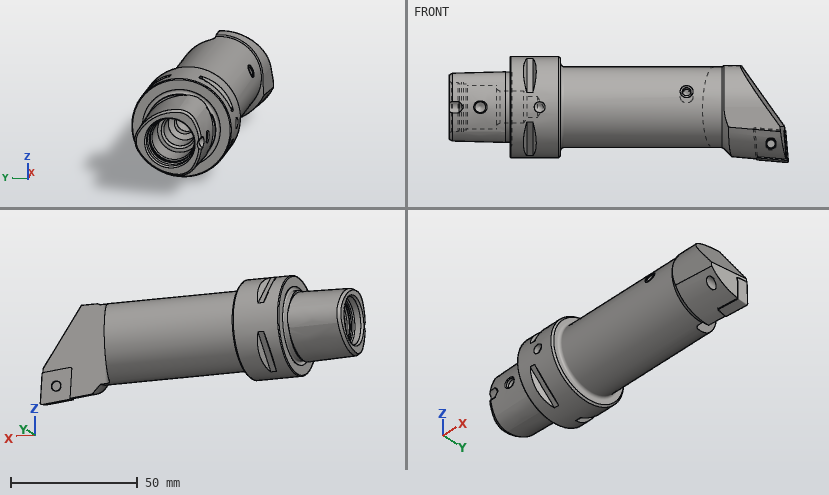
import cadquery as cq
import math

TOOL_LENGTH = 134.0

POLYGON_LENGTH = 22.2
LOBE_CENTRE = 6.5
LOBE_RADIUS = 8.3
TAPER_RATIO = 20
TAPER_DROP = POLYGON_LENGTH / TAPER_RATIO / 2
END_CHAMFER = 1.3
END_CHAMFER_DROP = 0.8

FLANGE_START = 24.0
FLANGE_END = 44.1
FLANGE_DIAMETER = 40.0
FLANGE_RADIUS = FLANGE_DIAMETER / 2
FLANGE_FRONT_CHAMFER = 0.4
FLANGE_REAR_CHAMFER = 0.8
NECK_RADIUS = 14.0
UNDERCUT_START = 23.6
UNDERCUT_DEPTH = 0.8
UNDERCUT_RADIUS = 15.7
SHANK_FILLET = 1.3

SHANK_DIAMETER = 32.0
SHANK_RADIUS = SHANK_DIAMETER / 2
HEAD_RADIUS = 16.5
HEAD_START = 108.5
STEP_LENGTH = 0.8

BORE_MOUTH_RADIUS = 10.2
BORE_MOUTH_LENGTH = 1.1
BORE_ENTRY_RADIUS = 9.6
BORE_ENTRY_DEPTH = 3.6
BORE_SEAT_RADIUS = 9.1
BORE_SEAT_DEPTH = 6.7
GROOVE_START = 5.0
GROOVE_END = 5.8
BORE_RADIUS = 8.6
BORE_DEPTH = 18.8
DRILL_MOUTH_RADIUS = 7.1
DRILL_MOUTH_DEPTH = 1.3
DRILL_RADIUS = 6.3
DRILL_DEPTH = 29.5
CHANNEL_RADIUS = 4.2
CHANNEL_DEPTH = 34.8
DRILL_POINT_ANGLE = 59.0

NOTCH_RADIUS = 2.5
NOTCH_AXIS_Y = -13.5
NOTCH_LENGTH = 3.9
NOTCH_POINT_ANGLE = 45.0
SHANK_HOLE_X = 12.3
SHANK_HOLE_RADIUS = 2.1
SHANK_HOLE_CHAMFER = 0.5
SHANK_HOLE_MOUTH_Y = -12.9
SHANK_HOLE_FLOOR_Y = -11.3
FLANGE_HOLE_X = 35.8
FLANGE_HOLE_RADIUS = 2.1
FLANGE_HOLE_FLOOR_Y = -17.4

GRIPPER_ANGLES = (45, 135, 225, 315)
GRIPPER_X = 31.9
GRIPPER_FLOOR_DISTANCE = 17.7
GRIPPER_FLOOR_WIDTH = 2.4
GRIPPER_FLANK_ANGLE = 30.0

RELIEF_START = 100.1
RELIEF_ANGLE = 15.0
RELIEF_FILLET = 2.7
RAKE_HEIGHT = 1.5
RAKE_TILT = 3.3

APPROACH_ANGLE = 5.0
HEAD_ARC_RADIUS = 20.5
HEAD_ARC_Y = 2.0
HEAD_ARC_Z = -1.1
FLARE_LENGTH = 10.7
NOSE_TOP_X = 115.1
NOSE_CORNER_X = 132.4
NOSE_CORNER_Z = -7.6
CLEARANCE_ANGLE = 6.0

CORNER_Z = -22.0
INSERT_EDGE = 12.9
INSERT_ANGLE = 80.0
INSERT_THICKNESS = 4.7
INSERT_NOSE_RADIUS = 0.7
INSERT_CLEARANCE = 7.0

PIN_RADIUS = 2.0
PIN_CHAMFER = 0.4
PIN_TOP_DEPTH = 0.7
PIN_LENGTH = 8.7

PLUG_X = 93.8
PLUG_POLAR_ANGLE = 23.0
PLUG_RADIUS = 2.5
PLUG_LENGTH = 5.4
PLUG_RECESS = 0.4
SOCKET_RADIUS = 1.7
SOCKET_DEPTH = 1.9

FAR = 53.6


def tan(degrees):
    return math.tan(math.radians(degrees))


def revolved(points):
    """Solid of revolution about X from (x, radius) points."""
    return cq.Workplane("XZ").polyline(points).close().revolve(360, (0, 0), (1, 0))


def drill(radius, depth, point_angle):
    """Drill along +Z from the origin to a shoulder depth, with a conical point."""
    point = radius / tan(point_angle)
    outline = [(0, -FAR), (radius, -FAR), (radius, depth), (0, depth + point)]
    return cq.Workplane("XZ").polyline(outline).close().revolve(360, (0, 0), (0, 1))


def coupling_section(x, lobe_radius):
    """Constant-width three-lobed outline, with one lobe pointing to +Y."""
    flat_radius = math.sqrt(3) * LOBE_CENTRE + lobe_radius

    def arc_point(lobe, radius, degrees):
        centre = math.radians(120 * lobe)
        normal = math.radians(120 * lobe + degrees)
        return (
            LOBE_CENTRE * math.cos(centre) + radius * math.cos(normal),
            LOBE_CENTRE * math.sin(centre) + radius * math.sin(normal),
        )

    outline = cq.Workplane("YZ", origin=(x, 0, 0)).moveTo(*arc_point(0, lobe_radius, -30))
    for lobe in range(3):
        lobe_end = arc_point(lobe, lobe_radius, 30)
        next_lobe = arc_point(lobe + 1, lobe_radius, -30)
        outline = outline.threePointArc(arc_point(lobe, lobe_radius, 0), lobe_end)
        outline = outline.threePointArc(arc_point(lobe + 2, flat_radius, 180), next_lobe)
    return outline.close().wire().val()


def coupling_shank():
    front = LOBE_RADIUS - TAPER_DROP
    sections = [
        coupling_section(0, front - END_CHAMFER_DROP),
        coupling_section(END_CHAMFER, front),
        coupling_section(POLYGON_LENGTH, LOBE_RADIUS),
    ]
    chamfered_end = cq.Solid.makeLoft(sections[:2], True)
    taper = cq.Solid.makeLoft(sections[1:], True)
    return cq.Workplane(chamfered_end).union(cq.Workplane(taper))


def turned_body():
    """Neck, flange and bar shank, up to the head cylinder."""
    shank_diagonal = SHANK_FILLET * (1 - math.sqrt(0.5))
    outline = (
        cq.Workplane("XZ")
        .moveTo(POLYGON_LENGTH, 0)
        .lineTo(POLYGON_LENGTH, NECK_RADIUS)
        .lineTo(UNDERCUT_START, NECK_RADIUS)
        .threePointArc(
            (FLANGE_START + UNDERCUT_DEPTH, (NECK_RADIUS + UNDERCUT_RADIUS) / 2),
            (FLANGE_START, UNDERCUT_RADIUS),
        )
        .lineTo(FLANGE_START, FLANGE_RADIUS - FLANGE_FRONT_CHAMFER)
        .lineTo(FLANGE_START + FLANGE_FRONT_CHAMFER, FLANGE_RADIUS)
        .lineTo(FLANGE_END - FLANGE_REAR_CHAMFER, FLANGE_RADIUS)
        .lineTo(FLANGE_END, FLANGE_RADIUS - FLANGE_REAR_CHAMFER)
        .lineTo(FLANGE_END, SHANK_RADIUS + SHANK_FILLET)
        .threePointArc(
            (FLANGE_END + shank_diagonal, SHANK_RADIUS + shank_diagonal),
            (FLANGE_END + SHANK_FILLET, SHANK_RADIUS),
        )
        .lineTo(HEAD_START - STEP_LENGTH, SHANK_RADIUS)
        .lineTo(HEAD_START, HEAD_RADIUS)
        .lineTo(HEAD_START, 0)
        .close()
    )
    return outline.revolve(360, (0, 0), (1, 0))


def nose_outline(y):
    """Side outline of the head; it recedes along X towards -Y by the clearance angle."""
    shift = y * tan(CLEARANCE_ANGLE)
    end_slope = tan(APPROACH_ANGLE)
    nose_slope = (NOSE_CORNER_X - NOSE_TOP_X) / (HEAD_RADIUS - NOSE_CORNER_Z)
    outline = [
        (NOSE_CORNER_X + (NOSE_CORNER_Z + FAR) * end_slope + shift, -FAR),
        (NOSE_CORNER_X + shift, NOSE_CORNER_Z),
        (NOSE_CORNER_X - (FAR - NOSE_CORNER_Z) * nose_slope + shift, FAR),
        (HEAD_START - FAR, FAR),
        (HEAD_START - FAR, -FAR),
    ]
    return cq.Workplane("XZ", origin=(0, y, 0)).polyline(outline).close().wire().val()


def head():
    """Cylindrical upper part and a flat-backed lower part, trimmed by the slanted nose."""
    length = TOOL_LENGTH - HEAD_START
    upper = revolved([
        (HEAD_START, 0),
        (HEAD_START, HEAD_RADIUS),
        (TOOL_LENGTH, HEAD_RADIUS),
        (TOOL_LENGTH, 0),
    ])

    lower = cq.Workplane("XY").box(length, HEAD_RADIUS + RAKE_HEIGHT, FAR, centered=False)
    lower = lower.translate((HEAD_START, -HEAD_RADIUS, -FAR))
    approach = math.radians(APPROACH_ANGLE)
    along = cq.Vector(math.cos(approach), 0, -math.sin(approach))
    arc_start = cq.Vector(TOOL_LENGTH, HEAD_ARC_Y, HEAD_ARC_Z) - along * FAR
    arc_body = cq.Solid.makeCylinder(HEAD_ARC_RADIUS, 2 * FAR, arc_start, along)
    flare = revolved([
        (HEAD_START, 0),
        (HEAD_START, HEAD_RADIUS),
        (HEAD_START + FLARE_LENGTH, HEAD_RADIUS + FLARE_LENGTH),
        (TOOL_LENGTH, HEAD_RADIUS + FLARE_LENGTH),
        (TOOL_LENGTH, 0),
    ])
    lower = lower.intersect(cq.Workplane(arc_body)).intersect(flare)

    nose = cq.Solid.makeLoft([nose_outline(-FAR), nose_outline(FAR)], True)
    return upper.union(lower).intersect(cq.Workplane(nose))


def relief_cutter():
    """Removes the +Y side of the bar end, leaving the rake side of the head."""
    floor_start = RELIEF_START + (SHANK_RADIUS - RAKE_HEIGHT) * tan(RELIEF_ANGLE)
    reach_start = RELIEF_START - (FAR - SHANK_RADIUS) * tan(RELIEF_ANGLE)
    outline = [
        (reach_start, FAR),
        (floor_start, RAKE_HEIGHT),
        (TOOL_LENGTH + FAR, RAKE_HEIGHT),
        (TOOL_LENGTH + FAR, FAR),
    ]
    cutter = cq.Workplane("XY").polyline(outline).close().extrude(FAR, both=True)
    corner = cq.selectors.NearestToPointSelector((floor_start, RAKE_HEIGHT, 0))
    cutter = cutter.edges(corner).fillet(RELIEF_FILLET)
    return cutter.rotate((0, RAKE_HEIGHT, 0), (1, RAKE_HEIGHT, 0), -RAKE_TILT)


def bore_cutter():
    entry_step = BORE_ENTRY_RADIUS - BORE_SEAT_RADIUS
    seat_step = BORE_SEAT_RADIUS - BORE_RADIUS
    channel_start = DRILL_DEPTH + (DRILL_RADIUS - CHANNEL_RADIUS) / tan(DRILL_POINT_ANGLE)
    point_depth = CHANNEL_DEPTH + CHANNEL_RADIUS / tan(DRILL_POINT_ANGLE)
    return revolved([
        (0, 0),
        (0, BORE_MOUTH_RADIUS),
        (BORE_MOUTH_LENGTH, BORE_ENTRY_RADIUS),
        (BORE_ENTRY_DEPTH, BORE_ENTRY_RADIUS),
        (BORE_ENTRY_DEPTH + entry_step, BORE_SEAT_RADIUS),
        (GROOVE_START, BORE_SEAT_RADIUS),
        (GROOVE_START, BORE_ENTRY_RADIUS),
        (GROOVE_END, BORE_ENTRY_RADIUS),
        (GROOVE_END, BORE_SEAT_RADIUS),
        (BORE_SEAT_DEPTH, BORE_SEAT_RADIUS),
        (BORE_SEAT_DEPTH + seat_step, BORE_RADIUS),
        (BORE_DEPTH, BORE_RADIUS),
        (BORE_DEPTH, DRILL_MOUTH_RADIUS),
        (BORE_DEPTH + DRILL_MOUTH_DEPTH, DRILL_RADIUS),
        (DRILL_DEPTH, DRILL_RADIUS),
        (channel_start, CHANNEL_RADIUS),
        (CHANNEL_DEPTH, CHANNEL_RADIUS),
        (point_depth, 0),
    ])


def notch_cutter():
    cutter = drill(NOTCH_RADIUS, NOTCH_LENGTH, NOTCH_POINT_ANGLE)
    return cutter.rotate((0, 0, 0), (0, 1, 0), 90).translate((0, NOTCH_AXIS_Y, 0))


def from_minus_y(cutter, x, floor_y):
    """Turns a cutter built along +Z so that it goes in from -Y, with its origin at floor_y."""
    return cutter.rotate((0, 0, 0), (1, 0, 0), -90).translate((x, floor_y, 0))


def shank_hole():
    """Drilled radial hole in the coupling shank, with a 45 degree countersink."""
    cone_length = SHANK_HOLE_CHAMFER + FAR
    cone = cq.Solid.makeCone(SHANK_HOLE_RADIUS + cone_length, SHANK_HOLE_RADIUS, cone_length)
    countersink = cq.Workplane(cone).translate((0, 0, SHANK_HOLE_MOUTH_Y - SHANK_HOLE_FLOOR_Y - FAR))
    cutter = drill(SHANK_HOLE_RADIUS, 0, DRILL_POINT_ANGLE).union(countersink)
    return from_minus_y(cutter, SHANK_HOLE_X, SHANK_HOLE_FLOOR_Y)


def flange_hole():
    cutter = drill(FLANGE_HOLE_RADIUS, 0, DRILL_POINT_ANGLE)
    return from_minus_y(cutter, FLANGE_HOLE_X, FLANGE_HOLE_FLOOR_Y)


def gripper_cutter(angle):
    """Straight trapezoidal groove across the flange, turned about X by the angle."""
    depth = FLANGE_RADIUS - GRIPPER_FLOOR_DISTANCE
    half_floor = GRIPPER_FLOOR_WIDTH / 2
    half_top = half_floor + depth * tan(GRIPPER_FLANK_ANGLE)
    outline = [
        (GRIPPER_X - half_floor, GRIPPER_FLOOR_DISTANCE),
        (GRIPPER_X + half_floor, GRIPPER_FLOOR_DISTANCE),
        (GRIPPER_X + half_top, FLANGE_RADIUS),
        (GRIPPER_X - half_top, FLANGE_RADIUS),
    ]
    cutter = cq.Workplane("XZ").polyline(outline).close().extrude(FAR, both=True)
    return cutter.rotate((0, 0, 0), (1, 0, 0), angle)


def insert_plane():
    """Rake plane at the insert's sharp corner; its x axis runs back along the lower cutting edge."""
    half_angle = math.radians(INSERT_ANGLE / 2)
    bisector = half_angle + math.radians(APPROACH_ANGLE)
    rounded_off = INSERT_NOSE_RADIUS * (math.cos(bisector) / math.sin(half_angle) - 1)
    corner = (TOOL_LENGTH + rounded_off, RAKE_HEIGHT + CORNER_Z * tan(RAKE_TILT), CORNER_Z)
    normal = cq.Vector(0, 1, -tan(RAKE_TILT))
    edge = cq.Vector(-1, tan(APPROACH_ANGLE) * tan(RAKE_TILT), tan(APPROACH_ANGLE))
    return cq.Plane(origin=corner, xDir=edge, normal=normal)


def rhombus():
    """Outline of the insert's rake face, its corners rounded by offsetting in and out."""
    angle = math.radians(INSERT_ANGLE)
    side = (INSERT_EDGE * math.cos(angle), INSERT_EDGE * math.sin(angle))
    outline = [(0, 0), (INSERT_EDGE, 0), (INSERT_EDGE + side[0], side[1]), side]
    inner = cq.Workplane(insert_plane()).polyline(outline).close().offset2D(-INSERT_NOSE_RADIUS)
    return inner.offset2D(INSERT_NOSE_RADIUS)


def insert_blank():
    return rhombus().extrude(-INSERT_THICKNESS, taper=INSERT_CLEARANCE)


def pin_cylinder(top_depth, length):
    """Cylinder through the middle of the rhombus, going down from below the rake face."""
    middle_x = INSERT_EDGE * (1 + math.cos(math.radians(INSERT_ANGLE))) / 2
    middle_y = INSERT_EDGE * math.sin(math.radians(INSERT_ANGLE)) / 2
    top = cq.Workplane(insert_plane()).workplane(offset=-top_depth).center(middle_x, middle_y)
    return top.circle(PIN_RADIUS).extrude(-length)


def pin_bore():
    """The pin's hole, right through."""
    return pin_cylinder(-FAR, 2 * FAR)


def on_plug_axis(body):
    """Places a body built along +Z, with z = 0 at the tool axis, on the plug's radial axis."""
    return body.rotate((0, 0, 0), (1, 0, 0), 90 - PLUG_POLAR_ANGLE).translate((PLUG_X, 0, 0))


def plug_hole():
    floor = SHANK_RADIUS - PLUG_RECESS - PLUG_LENGTH
    return on_plug_axis(cq.Workplane("XY", origin=(0, 0, floor)).circle(PLUG_RADIUS).extrude(FAR))


def make_holder():
    holder = coupling_shank().union(turned_body()).union(head()).cut(relief_cutter())
    holder = holder.cut(bore_cutter()).cut(notch_cutter())
    holder = holder.cut(shank_hole()).cut(flange_hole())
    for angle in GRIPPER_ANGLES:
        holder = holder.cut(gripper_cutter(angle))
    holder = holder.cut(insert_blank()).cut(pin_bore())
    return holder.cut(plug_hole())


def make_insert():
    return insert_blank().cut(pin_bore())


def make_pin():
    """Pin through the insert into the holder, chamfered at its -Y end."""
    return pin_cylinder(PIN_TOP_DEPTH, PIN_LENGTH).faces("<Y").chamfer(PIN_CHAMFER)


def make_plug():
    """Plug in the side of the bar, with a drilled socket in its outer end."""
    top = SHANK_RADIUS - PLUG_RECESS
    body = cq.Workplane("XY", origin=(0, 0, top - PLUG_LENGTH)).circle(PLUG_RADIUS).extrude(PLUG_LENGTH)
    socket = drill(SOCKET_RADIUS, SOCKET_DEPTH, DRILL_POINT_ANGLE).rotate((0, 0, 0), (1, 0, 0), 180)
    return on_plug_axis(body.cut(socket.translate((0, 0, top))))


holder = make_holder()
insert = make_insert()
pin = make_pin()
plug = make_plug()

result = cq.Compound.makeCompound([holder.val(), insert.val(), pin.val(), plug.val()])